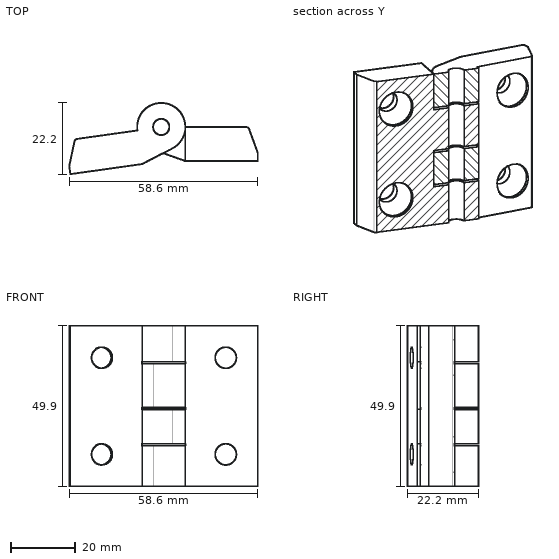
import cadquery as cq
import math

height = 49.9
knuckle_radius = 7.5
pivot_diameter = 5.0
leaf_reach = 30.0
leaf_thickness = 10.6
outer_edge_height = 8.0
outer_edge_slope_run = 2.9
rear_edge_radius = 1.0
leaf_tilt = 8.0

knuckle_gap = 0.5
right_lower_top = 12.7
left_lower_top = 23.95
right_upper_top = 38.1
right_knuckles = [(0, right_lower_top), (left_lower_top + knuckle_gap, right_upper_top)]
left_knuckles = [
    (right_lower_top + knuckle_gap, left_lower_top),
    (right_upper_top + knuckle_gap, height),
]

hole_offset = 20.0
hole_spacing = 30.0
bore_diameter = 6.5
bore_depth = 3.0
recess_diameter = 11.0
recess_depth = 1.05


def plate():
    """Full-height leaf plate with a sloping outer edge."""
    blank = (
        cq.Workplane("XY")
        .moveTo(knuckle_radius, 0)
        .lineTo(leaf_reach - outer_edge_slope_run, 0)
        .lineTo(leaf_reach, -outer_edge_height)
        .lineTo(leaf_reach, -leaf_thickness)
        .lineTo(knuckle_radius, -leaf_thickness)
        .close()
        .extrude(height)
    )
    rear_edge = cq.selectors.NearestToPointSelector((leaf_reach - outer_edge_slope_run, 0, height / 2))
    return blank.edges(rear_edge).fillet(rear_edge_radius)


def knuckle(bottom, top):
    """Round knuckle with a web running tangentially to the plate's front inner corner."""
    tangent_angle = -2 * math.atan2(leaf_thickness, knuckle_radius)
    tangent_x = knuckle_radius * math.cos(tangent_angle)
    tangent_y = knuckle_radius * math.sin(tangent_angle)
    return (
        cq.Workplane("XY", origin=(0, 0, bottom))
        .moveTo(knuckle_radius, 0)
        .threePointArc((-knuckle_radius, 0), (tangent_x, tangent_y))
        .lineTo(knuckle_radius, -leaf_thickness)
        .close()
        .moveTo(0, 0)
        .circle(pivot_diameter / 2)
        .extrude(top - bottom)
    )


def mounting_hole(z):
    """Cutter for one mounting hole, revolved about its axis."""
    bore_radius = bore_diameter / 2
    recess_radius = recess_diameter / 2
    return (
        cq.Workplane("XY", origin=(hole_offset, 0, z))
        .moveTo(0, 0)
        .lineTo(recess_radius, 0)
        .lineTo(recess_radius, -recess_depth)
        .lineTo(bore_radius, bore_depth - leaf_thickness)
        .lineTo(bore_radius, -leaf_thickness)
        .lineTo(0, -leaf_thickness)
        .close()
        .revolve(360, (0, 0, 0), (0, 1, 0))
    )


def leaf(knuckle_spans):
    """One hinge leaf: plate, its knuckles and its two mounting holes."""
    body = plate()
    for bottom, top in knuckle_spans:
        body = body.union(knuckle(bottom, top))
    for side in (-1, 1):
        body = body.cut(mounting_hole(height / 2 + side * hole_spacing / 2))
    return body


right_leaf = leaf(right_knuckles)
left_leaf = leaf(left_knuckles).mirror("YZ").rotate((0, 0, 0), (0, 0, 1), leaf_tilt)

result = cq.Compound.makeCompound([*right_leaf.solids().vals(), *left_leaf.solids().vals()])